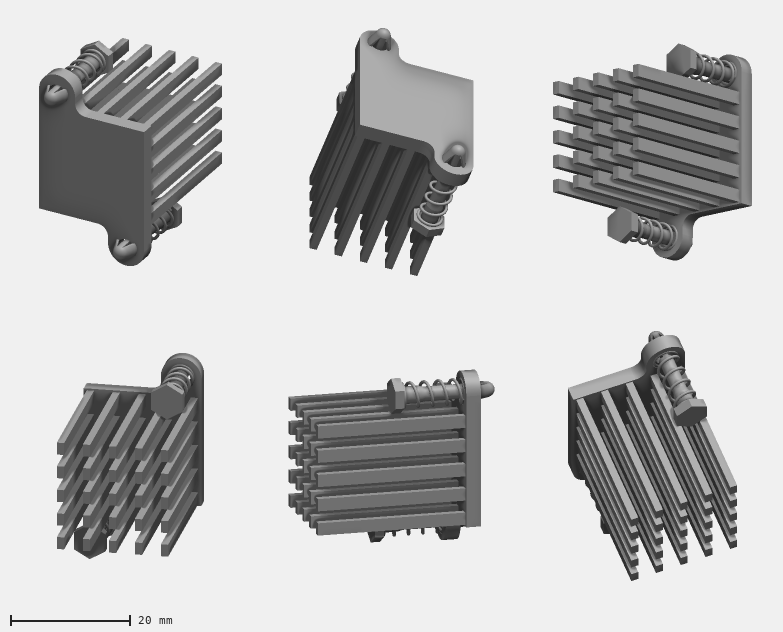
import cadquery as cq
import math


plate_width = 20.0
overall_height = 32.7
plate_thickness = 2.55
block_height = 19.55
lobe_radius = 3.45
lobe_fillet = 1.95
fin_end = 28.03
fin_width = 1.25
fin_height = 2.13
fin_span = 18.95
fin_count = 5
pin_hole_radius = 1.57
spring_seat_depth = 0.43
spring_seat_clearance = 0.03

head_face = 13.02
head_thickness = 1.6
head_corner_diameter = 6.15
collar_radius = 1.47
collar_length = 2.95
taper_length = 0.95
shaft_radius = 1.25
web_thickness = 0.98
tip_base = -2.32
tip_end = -3.2
barb_outer_radius = 2.1
barb_opening = 2.62
barb_width = 2.3

wire_diameter = 0.52
spring_outer_radius = 2.3
spring_pitch = 2.5
closed_turns = 0.64
ramp_turns = 0.25
points_per_turn = 16

pin_x = plate_width / 2 - lobe_radius
pin_z = overall_height / 2 - lobe_radius
pin_positions = [(-pin_x, pin_z, 50), (pin_x, -pin_z, -40)]
spring_seat_radius = spring_outer_radius + spring_seat_clearance
seat_floor = plate_thickness - spring_seat_depth


def cylinder_y(radius, start, end, x=0, z=0):
    """Cylinder along Y from start to end."""
    base = cq.Vector(x, start, z)
    return cq.Workplane(cq.Solid.makeCylinder(radius, end - start, base, cq.Vector(0, 1, 0)))


def make_plate():
    half_width = plate_width / 2
    half_block = block_height / 2
    neck = half_width - 2 * lobe_radius
    outline = (
        cq.Workplane("XZ")
        .moveTo(-half_width, -half_block)
        .lineTo(-half_width, pin_z)
        .threePointArc((-pin_x, overall_height / 2), (-neck, pin_z))
        .lineTo(-neck, half_block)
        .lineTo(half_width, half_block)
        .lineTo(half_width, -pin_z)
        .threePointArc((pin_x, -overall_height / 2), (neck, -pin_z))
        .lineTo(neck, -half_block)
        .close()
    )
    plate = outline.extrude(-plate_thickness)
    for corner_x, corner_z in [(-neck, half_block), (neck, -half_block)]:
        corner = cq.selectors.NearestToPointSelector((corner_x, plate_thickness / 2, corner_z))
        plate = plate.edges("|Y").edges(corner).fillet(lobe_fillet)
    return plate


def make_heat_sink():
    sink = make_plate()
    fins = (
        cq.Workplane("XZ", origin=(0, plate_thickness, 0))
        .rarray(
            (fin_span - fin_width) / (fin_count - 1),
            (fin_span - fin_height) / (fin_count - 1),
            fin_count,
            fin_count,
        )
        .rect(fin_width, fin_height)
        .extrude(plate_thickness - fin_end)
    )
    sink = sink.union(fins)
    for x, z, _ in pin_positions:
        sink = sink.cut(cylinder_y(pin_hole_radius, 0, plate_thickness, x, z))
        sink = sink.cut(cylinder_y(spring_seat_radius, seat_floor, plate_thickness, x, z))
    return sink


def make_barbs():
    """Rounded tip with two flared arms: a cone cut by a flat slab and opened by a wedge along Z."""
    cap_height = tip_base - tip_end
    cap_sphere_radius = (shaft_radius**2 + cap_height**2) / (2 * cap_height)
    cap_center = tip_end + cap_sphere_radius
    half_cap_angle = math.asin(shaft_radius / cap_sphere_radius) / 2
    cap_middle = (
        cap_sphere_radius * math.sin(half_cap_angle),
        cap_center - cap_sphere_radius * math.cos(half_cap_angle),
    )
    tip = (
        cq.Workplane("XY")
        .moveTo(0, tip_base)
        .lineTo(shaft_radius, tip_base)
        .threePointArc(cap_middle, (0, tip_end))
        .close()
        .revolve(360, (0, 0, 0), (0, 1, 0))
    )
    cone = (
        cq.Workplane("XY")
        .polyline([(0, tip_base), (shaft_radius, tip_base), (barb_outer_radius, 0), (0, 0)])
        .close()
        .revolve(360, (0, 0, 0), (0, 1, 0))
    )
    half_web = web_thickness / 2
    half_opening = barb_opening / 2
    slab = cq.Workplane("XY").box(4 * barb_outer_radius, 4 * barb_outer_radius, barb_width)
    wedge = (
        cq.Workplane("XY")
        .polyline([(-half_web, tip_base), (half_web, tip_base), (half_opening, 0), (-half_opening, 0)])
        .close()
        .extrude(barb_width, both=True)
    )
    return tip.union(cone.intersect(slab).cut(wedge))


def make_pin():
    collar_end = head_face - collar_length
    shank = (
        cq.Workplane("XY")
        .moveTo(0, plate_thickness)
        .lineTo(shaft_radius, plate_thickness)
        .lineTo(shaft_radius, collar_end - taper_length)
        .lineTo(collar_radius, collar_end)
        .lineTo(collar_radius, head_face)
        .lineTo(0, head_face)
        .close()
        .revolve(360, (0, 0, 0), (0, 1, 0))
    )
    head = (
        cq.Workplane("XZ", origin=(0, head_face, 0))
        .transformed(rotate=(0, 0, 90))
        .polygon(6, head_corner_diameter)
        .extrude(-head_thickness)
    )
    web_slab = cq.Workplane("XY").box(web_thickness, 3 * plate_thickness, 3 * shaft_radius)
    web = cylinder_y(shaft_radius, tip_base, plate_thickness).intersect(web_slab)
    return head.union(shank).union(web).union(make_barbs())


def make_spring():
    """Compression spring with flat closed ends; it runs from the pin head down to its seat."""
    coil_radius = spring_outer_radius - wire_diameter / 2
    drop = head_face - seat_floor - wire_diameter
    rising_turns = drop / spring_pitch + ramp_turns
    total_turns = rising_turns + 2 * closed_turns

    def descent(turn):
        """Distance below the first coil: flat, then a ramp of pitch, then constant pitch."""
        rising = min(max(turn - closed_turns, 0), rising_turns)
        if rising > rising_turns / 2:
            return drop - descent(total_turns - turn)
        if rising < ramp_turns:
            return spring_pitch * rising**2 / (2 * ramp_turns)
        return spring_pitch * (rising - ramp_turns / 2)

    top = head_face - wire_diameter / 2
    steps = math.ceil(total_turns * points_per_turn)
    points = []
    for step in range(steps + 1):
        turn = total_turns * step / steps
        angle = 2 * math.pi * turn
        points.append(
            cq.Vector(coil_radius * math.cos(angle), top - descent(turn), coil_radius * math.sin(angle))
        )
    path = cq.Workplane(cq.Wire.assembleEdges([cq.Edge.makeSpline(points)]))
    start = cq.Plane(origin=points[0], xDir=(1, 0, 0), normal=(0, 0, 1))
    return cq.Workplane(start).circle(wire_diameter / 2).sweep(path, isFrenet=True)


heat_sink = make_heat_sink()
pins = []
springs = []
for x, z, spring_turn in pin_positions:
    pins.append(make_pin().translate((x, 0, z)).val())
    springs.append(make_spring().rotate((0, 0, 0), (0, 1, 0), spring_turn).translate((x, 0, z)).val())

result = cq.Compound.makeCompound([heat_sink.val(), *pins, *springs])